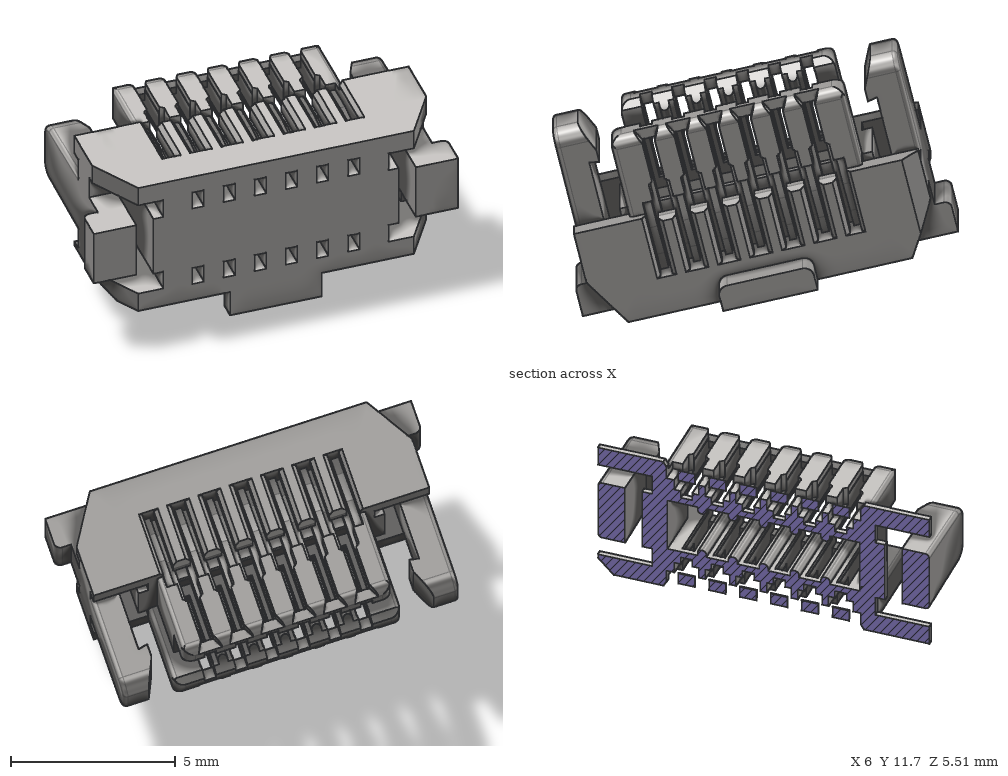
import cadquery as cq
import math


total_length = 6.0
total_width = 11.71
total_height = 5.51

pitch = 1.0
slots_per_row = 6
slot_width = 0.37
slot_positions = [(i - (slots_per_row - 1) / 2) * pitch for i in range(slots_per_row)]
pad_positions = [(i - slots_per_row / 2) * pitch for i in range(slots_per_row + 1)]

body_depth = 3.17
body_width = 10.74
body_height = 4.63
front_x = -body_depth
half_body_width = body_width / 2
half_body_height = body_height / 2
rear_chamfer_x = 1.55
rear_chamfer_y = 0.94
key_chamfer = 0.51

plate_inner_z = 1.66
core_half_width = 3.62
web_inner_y = 4.66
web_front_x = -2.83
web_back_x = -1.82
fin_half_width = 3.94
fin_half_height = 1.03

arm_inner_y = 4.49
arm_root_half_height = 1.03
arm_tip_half_height = 0.96
arm_rear_half_height = 0.93
arm_nose_radius = 0.5
arm_edge_radius = 0.14
barb_y = 4.19
barb_back_x = -4.76
barb_undercut = 0.07
barb_flat_length = 0.4
arm_tip_inner_y = 4.565
ear_depth = 1.02
ear_radius = 0.2

tab_width = 2.95
tab_depth = 0.78
tab_radius = 0.3
tab_height = total_height - body_height

upper_half_width = 3.33
lower_half_width = 3.63
tongue_front_x = -5.75
tongue_inner_z = 0.89
tongue_outer_z = 1.98
tongue_nose_radius = 0.34
tongue_edge_radius = 0.13
lead_in_x = 0.22
lead_in_z = 0.23
bar_back_x = tongue_front_x + tongue_nose_radius
bar_outer_z = 1.61
notch_outer_z = 1.37
cavity_floor_x = web_front_x
side_wall_inner_y = 3.11
side_wall_front_x = -4.74

ridge_width = 0.3
ridge_height = 0.22
ridge_radius = 0.14

pad_width = 0.61
pad_tip_width = 0.25
neck_width = 0.36
neck_start_x = -4.05
neck_taper = 0.1
neck_end_x = -3.53
strip_width = 0.22
strip_outer_z = 1.73
trench_floor_z = 1.37
relief_outer_z = 1.04

pocket_half_width = 3.14
pocket_back_x = -1.17
pocket_flare = 0.11
ramp_front_x = -2.62
ramp_back_x = -1.68
ramp_drop = 0.15
rib_width = 0.55
rib_crown_width = 0.29
rib_inner_z = 1.72
rib_shoulder_z = 2.14
rib_front_x = -3.03
rib_lean = 0.08
hole_inner_z = 1.12


def box(x0, x1, y0, y1, z0, z1):
    return cq.Workplane("XY").box(x1 - x0, y1 - y0, z1 - z0, centered=False).translate((x0, y0, z0))


def plan_prism(points, z0, z1):
    """Prism standing on an outline of (x, y) points."""
    return cq.Workplane("XY").workplane(offset=z0).polyline(points).close().extrude(z1 - z0)


def side_prism(points, half_width):
    """Prism along Y with an outline of (x, z) points."""
    return cq.Workplane("XZ").polyline(points).close().extrude(half_width, both=True)


def copies_along_y(shape, positions):
    """Separate copies of a shape, one at every given Y position."""
    return cq.Workplane(cq.Compound.makeCompound([shape.translate((0, y, 0)).val() for y in positions]))


def mirrored_in_y(shape):
    return shape.union(shape.mirror("XZ"))


def make_body():
    body = box(front_x, 0, -half_body_width, half_body_width, -half_body_height, half_body_height)
    corner = plan_prism(
        [
            (-rear_chamfer_x, half_body_width),
            (0, half_body_width),
            (0, half_body_width - rear_chamfer_y),
        ],
        -half_body_height,
        half_body_height,
    )
    body = body.cut(mirrored_in_y(corner))

    window = box(front_x, 0, core_half_width, web_inner_y, -plate_inner_z, plate_inner_z)
    front_notch = box(front_x, web_front_x, web_inner_y, half_body_width, -plate_inner_z, plate_inner_z)
    rear_notch = box(web_back_x, 0, web_inner_y, half_body_width, -plate_inner_z, plate_inner_z)
    body = body.cut(mirrored_in_y(window.union(front_notch).union(rear_notch)))

    fins = box(front_x, 0, -fin_half_width, fin_half_width, -fin_half_height, fin_half_height)
    body = body.union(fins)

    key = (
        cq.Workplane("YZ")
        .polyline(
            [
                (-half_body_width, -half_body_height),
                (-half_body_width + key_chamfer, -half_body_height),
                (-half_body_width, -half_body_height + key_chamfer),
            ]
        )
        .close()
        .extrude(-body_depth)
    )
    return body.cut(key)


def make_arm():
    """Latch arm on the +Y side, with its barb and the ear at the back."""
    nose_x = -total_length + arm_nose_radius
    nose_z = arm_tip_half_height - arm_nose_radius
    diagonal = arm_nose_radius * math.sqrt(0.5)
    blade = (
        cq.Workplane("XZ", origin=(0, half_body_width, 0))
        .moveTo(web_back_x, arm_root_half_height)
        .lineTo(web_front_x, arm_root_half_height)
        .lineTo(nose_x, arm_tip_half_height)
        .threePointArc((nose_x - diagonal, nose_z + diagonal), (-total_length, nose_z))
        .lineTo(-total_length, -nose_z)
        .threePointArc((nose_x - diagonal, -nose_z - diagonal), (nose_x, -arm_tip_half_height))
        .lineTo(web_front_x, -arm_root_half_height)
        .lineTo(web_back_x, -arm_root_half_height)
        .close()
        .extrude(half_body_width - barb_y)
    )
    blade = blade.faces(">Y").edges("not(>X)").fillet(arm_edge_radius)
    plan = plan_prism(
        [
            (web_back_x, half_body_width),
            (-total_length, half_body_width),
            (-total_length, arm_tip_inner_y),
            (barb_back_x - barb_flat_length, barb_y),
            (barb_back_x, barb_y),
            (barb_back_x - barb_undercut, arm_inner_y),
            (web_back_x, arm_inner_y),
        ],
        -arm_root_half_height,
        arm_root_half_height,
    )
    blade = blade.intersect(plan)
    root = box(web_back_x, 0, arm_inner_y, half_body_width, -arm_rear_half_height, arm_rear_half_height)
    ear = box(-ear_depth, 0, arm_inner_y, total_width / 2, -arm_rear_half_height, arm_rear_half_height)
    ear = ear.edges("|Z and <X and >Y").fillet(ear_radius)
    return blade.union(root).union(ear)


def make_tab():
    tab = box(-tab_depth, 0, -tab_width / 2, tab_width / 2, -half_body_height - tab_height, -half_body_height)
    return tab.edges("|Z and <X").fillet(tab_radius)


def make_tongue(half_width):
    """Upper tongue: rounded slab with guide ridges and the lead-in chamfer."""
    plan = box(tongue_front_x, front_x, -half_width, half_width, 0, tongue_outer_z)
    plan = plan.edges("|Z and <X").fillet(tongue_nose_radius)
    side = box(tongue_front_x, front_x, -half_width, half_width, tongue_inner_z, tongue_outer_z)
    side = side.edges("|Y and <X and >Z").fillet(tongue_nose_radius)
    section = box(tongue_front_x, front_x, -half_width, half_width, tongue_inner_z, tongue_outer_z)
    section = section.edges("|X and >Z").fillet(tongue_edge_radius)
    if half_width > upper_half_width:
        section = section.edges("|X and <Z").fillet(tongue_edge_radius)
    tongue = plan.intersect(side).intersect(section)

    ridge_inner_z = tongue_inner_z - ridge_height
    half_ridge = ridge_width / 2
    ridge = box(tongue_front_x, cavity_floor_x, -half_ridge, half_ridge, ridge_inner_z, tongue_inner_z)
    ridge = ridge.edges("|X and <Z").fillet(ridge_radius)
    tongue = tongue.union(copies_along_y(ridge, pad_positions[1:-1]))

    lead_in_slope = lead_in_x / lead_in_z
    lead_in_top = tongue_inner_z + lead_in_z
    lead_in = side_prism(
        [
            (tongue_front_x, lead_in_top),
            (tongue_front_x + lead_in_top * lead_in_slope, 0),
            (tongue_front_x, 0),
        ],
        half_width,
    )
    return tongue.cut(lead_in)


def make_slot_cutter():
    """Contact slot, its notch in the front bar and the trench between two pads."""
    half_slot = slot_width / 2
    half_tip_gap = (pitch - pad_tip_width) / 2
    half_pad_gap = (pitch - pad_width) / 2
    half_neck_gap = (pitch - neck_width) / 2
    half_strip_gap = (pitch - strip_width) / 2

    slot = box(bar_back_x, front_x, -half_slot, half_slot, 0, tongue_outer_z)
    notch = box(tongue_front_x, bar_back_x, -half_slot, half_slot, 0, notch_outer_z)
    mouth = plan_prism(
        [
            (tongue_front_x, -half_tip_gap),
            (bar_back_x, -half_pad_gap),
            (bar_back_x, half_pad_gap),
            (tongue_front_x, half_tip_gap),
        ],
        bar_outer_z,
        tongue_outer_z,
    )
    pad_gap = box(bar_back_x, front_x, -half_pad_gap, half_pad_gap, strip_outer_z, tongue_outer_z)
    inner_relief = box(bar_back_x, front_x, -half_pad_gap, half_pad_gap, 0, relief_outer_z)
    neck_gap = plan_prism(
        [
            (neck_start_x - neck_taper, -half_pad_gap),
            (neck_start_x, -half_neck_gap),
            (front_x, -half_neck_gap),
            (front_x, half_neck_gap),
            (neck_start_x, half_neck_gap),
            (neck_start_x - neck_taper, half_pad_gap),
        ],
        trench_floor_z,
        tongue_outer_z,
    )
    strip_gap = box(neck_end_x, front_x, -half_strip_gap, half_strip_gap, trench_floor_z, tongue_outer_z)
    cutter = slot
    for piece in (notch, mouth, pad_gap, inner_relief, neck_gap, strip_gap):
        cutter = cutter.union(piece)
    return cutter


def pocket_floor_outline(front_z):
    """Closed (x, z) outline of the space above a pocket floor that ramps down towards the back."""
    back_z = front_z - ramp_drop
    return [
        (front_x, front_z),
        (ramp_front_x, front_z),
        (ramp_back_x, back_z),
        (pocket_back_x, back_z),
        (pocket_back_x, half_body_height),
        (front_x, half_body_height),
    ]


def make_pocket():
    """Recess in the upper plate with flared side walls and a raised strip behind every pad."""
    flare_half_width = pocket_half_width + pocket_flare
    section = (
        cq.Workplane("YZ", origin=(front_x, 0, 0))
        .polyline(
            [
                (-pocket_half_width, 0),
                (pocket_half_width, 0),
                (pocket_half_width, rib_shoulder_z),
                (flare_half_width, half_body_height),
                (-flare_half_width, half_body_height),
                (-pocket_half_width, rib_shoulder_z),
            ]
        )
        .close()
        .extrude(pocket_back_x - front_x)
    )
    above_strips = side_prism(pocket_floor_outline(strip_outer_z), half_body_width)
    half_gap = (pitch - strip_width) / 2
    gap = side_prism(pocket_floor_outline(trench_floor_z), half_gap)
    return section.intersect(above_strips).union(copies_along_y(gap, slot_positions).intersect(section))


def make_rib():
    """Cantilever rib with bevelled shoulders and a leaning front."""
    half_width = rib_width / 2
    half_crown = rib_crown_width / 2
    rib = (
        cq.Workplane("YZ", origin=(rib_front_x, 0, 0))
        .polyline(
            [
                (-half_width, rib_inner_z),
                (half_width, rib_inner_z),
                (half_width, rib_shoulder_z),
                (half_crown, half_body_height),
                (-half_crown, half_body_height),
                (-half_width, rib_shoulder_z),
            ]
        )
        .close()
        .extrude(pocket_back_x - rib_front_x)
    )
    lean = side_prism(
        [
            (rib_front_x, tongue_outer_z),
            (rib_front_x + rib_lean, half_body_height),
            (rib_front_x, half_body_height),
        ],
        half_width,
    )
    return rib.cut(lean)


def add_contact_row(body, half_width, lower):
    """Tongue, plate pocket, ribs and contact holes of one row."""

    def place(shape):
        return shape.mirror("XY") if lower else shape

    tongue = make_tongue(half_width).cut(copies_along_y(make_slot_cutter(), slot_positions))
    above_strips = box(
        neck_end_x, front_x, -pocket_half_width, pocket_half_width, strip_outer_z, tongue_outer_z
    )
    tongue = tongue.cut(above_strips)

    hole = box(front_x, 0, -slot_width / 2, slot_width / 2, hole_inner_z, rib_inner_z)
    body = body.cut(place(make_pocket()))
    body = body.cut(place(copies_along_y(hole, slot_positions)))
    body = body.union(place(copies_along_y(make_rib(), slot_positions)))
    return body.union(place(tongue))


def make_cavity():
    """Mating gap continued into the body, between the two contact rows."""
    return box(
        front_x, cavity_floor_x, -side_wall_inner_y, side_wall_inner_y, -tongue_inner_z, tongue_inner_z
    )


def make_side_wall():
    """Wall on the +Y side that joins the two tongues."""
    return box(
        side_wall_front_x, front_x, side_wall_inner_y, upper_half_width, -tongue_inner_z, tongue_inner_z
    )


result = make_body().cut(make_cavity())
result = add_contact_row(result, upper_half_width, lower=False)
result = add_contact_row(result, lower_half_width, lower=True)
result = result.union(mirrored_in_y(make_side_wall()))
result = result.union(mirrored_in_y(make_arm()))
result = result.union(make_tab())